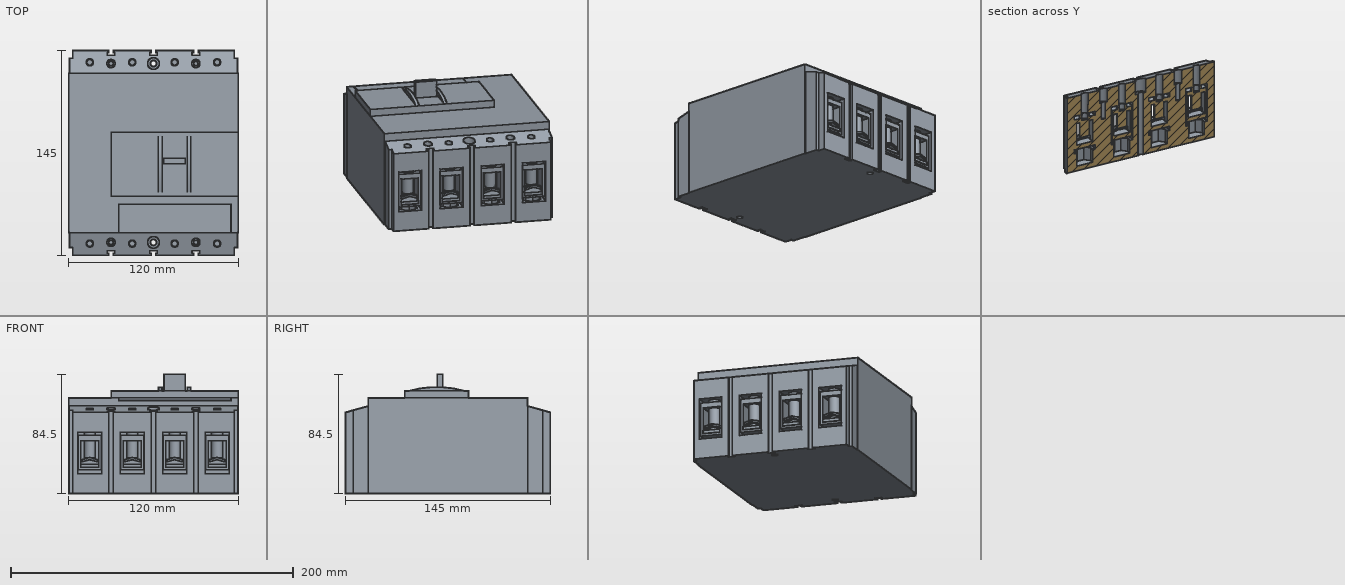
import cadquery as cq


WIDTH = 120.0
LENGTH = 145.0
HOUSING_LENGTH = 112.8
HOUSING_HEIGHT = 67.7

BLOCK_WIDTH = 118.9
BLOCK_NOSE_WIDTH = 114.4
BLOCK_NOSE_LENGTH = 5.5
BLOCK_INNER_HEIGHT = 62.0
BLOCK_OUTER_HEIGHT = 57.5

POLE_COUNT = 4
POLE_PITCH = WIDTH / POLE_COUNT
POLE_XS = [(i - (POLE_COUNT - 1) / 2) * POLE_PITCH for i in range(POLE_COUNT)]
GAP_XS = [-POLE_PITCH, 0, POLE_PITCH]

SLOT_NECK_WIDTH = 3.0
SLOT_HEAD_WIDTH = 5.2
SLOT_NECK_DEPTH = 1.6
SLOT_DEPTH = 3.3

MOUNT_HOLE_Y = 63.2
BLIND_COUNTERBORE = 5.8
BLIND_HOLE = 3.2
BLIND_HOLE_FLOOR = 36.2
THROUGH_COUNTERBORE = 8.3
THROUGH_HOLE = 4.2
COUNTERBORE_FLOOR = 49.3

END_Y = LENGTH / 2
POCKET_WIDTH = 16.8
POCKET_DEPTH = 14.5
POCKET_FLOOR = 14.2
POCKET_CEILING = 43.6
FLOOR_WELL_SIDES = 8
FLOOR_WELL_FLATS = 12.5
FLOOR_WELL_DEPTH = 10.2

CAGE_WIDTH = 16.2
CAGE_SETBACK = 2.3
CAGE_BOTTOM = 17.0
CAGE_TOP = 41.2
WINDOW_WIDTH = 12.6
WINDOW_BOTTOM = 18.5
WINDOW_TOP = 37.5
BAR_SETBACK = 1.7
BAR_TOP = 20.7
SCREW_Y = 64.1
SCREW_DIAMETER = 8.0
SCREW_BOTTOM = 25.5
DRIVER_HOLE = 5.0
SCREW_SOCKET = 4.2
SCREW_SOCKET_DEPTH = 4.4
SHOE_WIDTH = 11.3
SHOE_SETBACK = 3.0
SHOE_LENGTH = 3.3
SHOE_END_BOTTOM = 22.5
SHOE_RISE = 1.6
SHOE_THICKNESS = 1.6

PLATE_WIDTH = 90.0
PLATE_BACK_Y = 14.6
PLATE_FRONT_Y = -30.6
PLATE_TOP = 72.8
RIB_THICKNESS = 2.6
RIB_LENGTH = 39.2
RIB_HEIGHT = 2.8
RIB_OFFSET = 10.2

LEVER_X = POLE_PITCH / 2
LEVER_Y = -5.7
LEVER_WIDTH = 15.2
LEVER_THICKNESS = 4.0
LEVER_TOP = 84.5

RECESS_LEFT_X = -24.6
RECESS_RIGHT_X = 55.1
RECESS_BACK_Y = -36.2
RECESS_DEPTH = 2.0
LABEL_GAP = 0.6


def box(x_range, y_range, z_range):
    """A box given by its lower and upper bound along each axis."""
    (x0, x1), (y0, y1), (z0, z1) = x_range, y_range, z_range
    return cq.Workplane("XY").box(x1 - x0, y1 - y0, z1 - z0, centered=False).translate((x0, y0, z0))


def centred_box(x, width, y_range, z_range):
    return box((x - width / 2, x + width / 2), y_range, z_range)


def cylinder(x, y, diameter, z_range):
    z0, z1 = z_range
    return cq.Workplane("XY", origin=(x, y, z0)).circle(diameter / 2).extrude(z1 - z0)


def terminal_block():
    """The sloping block at the -Y end, with its narrower nose."""
    inner_y = -HOUSING_LENGTH / 2
    block = (
        cq.Workplane("YZ", origin=(-BLOCK_WIDTH / 2, 0, 0))
        .polyline([(inner_y, 0), (inner_y, BLOCK_INNER_HEIGHT), (-END_Y, BLOCK_OUTER_HEIGHT), (-END_Y, 0)])
        .close()
        .extrude(BLOCK_WIDTH)
    )
    nose_y = (-END_Y, -END_Y + BLOCK_NOSE_LENGTH)
    for side in (-1, 1):
        corner = sorted((side * BLOCK_NOSE_WIDTH / 2, side * BLOCK_WIDTH / 2))
        block = block.cut(box(corner, nose_y, (0, HOUSING_HEIGHT)))
    return block


def t_slot(x):
    """A full-height T-slot opening through the -Y end face."""
    height = (0, HOUSING_HEIGHT)
    neck = centred_box(x, SLOT_NECK_WIDTH, (-END_Y, -END_Y + SLOT_DEPTH), height)
    head = centred_box(x, SLOT_HEAD_WIDTH, (-END_Y + SLOT_NECK_DEPTH, -END_Y + SLOT_DEPTH), height)
    return neck.union(head)


def mount_hole(x, bore, counterbore, floor):
    wide = cylinder(x, -MOUNT_HOLE_Y, counterbore, (COUNTERBORE_FLOOR, HOUSING_HEIGHT))
    return wide.union(cylinder(x, -MOUNT_HOLE_Y, bore, (floor, HOUSING_HEIGHT)))


def terminal_pocket(x):
    """The cavity for one terminal clamp, with an octagonal well in its floor."""
    pocket = centred_box(
        x, POCKET_WIDTH, (-END_Y, -END_Y + POCKET_DEPTH), (POCKET_FLOOR, POCKET_CEILING)
    )
    well = (
        cq.Workplane("XY", origin=(x, -SCREW_Y, POCKET_FLOOR))
        .polygon(FLOOR_WELL_SIDES, FLOOR_WELL_FLATS, circumscribed=True)
        .extrude(-FLOOR_WELL_DEPTH)
    )
    return pocket.union(well)


def pressure_shoe(x):
    """The roof-shaped strip under the clamp screw."""
    half = SHOE_WIDTH / 2
    end_top = SHOE_END_BOTTOM + SHOE_THICKNESS
    lower_edge = [(-half, SHOE_END_BOTTOM), (0, SHOE_END_BOTTOM + SHOE_RISE), (half, SHOE_END_BOTTOM)]
    upper_edge = [(half, end_top), (0, end_top + SHOE_RISE), (-half, end_top)]
    return (
        cq.Workplane("XZ", origin=(x, -END_Y + SHOE_SETBACK, 0))
        .polyline(lower_edge + upper_edge)
        .close()
        .extrude(-SHOE_LENGTH)
    )


def terminal_clamp(x):
    """The cage, current bar, screw and shoe, standing out from the back wall of the pocket."""
    back_y = -END_Y + POCKET_DEPTH
    depth = (-END_Y + CAGE_SETBACK, back_y)
    cage = centred_box(x, CAGE_WIDTH, depth, (CAGE_BOTTOM, CAGE_TOP))
    cage = cage.cut(centred_box(x, WINDOW_WIDTH, depth, (WINDOW_BOTTOM, WINDOW_TOP)))
    bar = centred_box(x, WINDOW_WIDTH, (-END_Y + BAR_SETBACK, back_y), (WINDOW_BOTTOM, BAR_TOP))
    screw = cylinder(x, -SCREW_Y, SCREW_DIAMETER, (SCREW_BOTTOM, POCKET_CEILING))
    return cage.union(bar).union(screw).union(pressure_shoe(x))


def driver_hole(x):
    """Access from above to the clamp screw, ending in the socket of the screw."""
    access = cylinder(x, -SCREW_Y, DRIVER_HOLE, (POCKET_CEILING, HOUSING_HEIGHT))
    socket_floor = POCKET_CEILING - SCREW_SOCKET_DEPTH
    return access.union(cylinder(x, -SCREW_Y, SCREW_SOCKET, (socket_floor, POCKET_CEILING)))


def make_housing():
    block = terminal_block()
    for x in GAP_XS:
        block = block.cut(t_slot(x))
        if x == 0:
            block = block.cut(mount_hole(x, THROUGH_HOLE, THROUGH_COUNTERBORE, 0))
        else:
            block = block.cut(mount_hole(x, BLIND_HOLE, BLIND_COUNTERBORE, BLIND_HOLE_FLOOR))
    for x in POLE_XS:
        block = block.cut(terminal_pocket(x)).union(terminal_clamp(x)).cut(driver_hole(x))

    half_length = HOUSING_LENGTH / 2
    housing = centred_box(0, WIDTH, (-half_length, half_length), (0, HOUSING_HEIGHT))
    housing = housing.union(block).union(block.mirror("XZ"))
    recess = box(
        (RECESS_LEFT_X, RECESS_RIGHT_X),
        (-half_length, RECESS_BACK_Y),
        (HOUSING_HEIGHT - RECESS_DEPTH, HOUSING_HEIGHT),
    )
    return housing.cut(recess)


def make_faceplate():
    right_x = WIDTH / 2
    plate = box(
        (right_x - PLATE_WIDTH, right_x), (PLATE_FRONT_Y, PLATE_BACK_Y), (HOUSING_HEIGHT, PLATE_TOP)
    )
    middle_y = (PLATE_FRONT_Y + PLATE_BACK_Y) / 2
    for side in (-1, 1):
        left_x = LEVER_X + side * RIB_OFFSET - RIB_THICKNESS / 2
        rib = (
            cq.Workplane("YZ", origin=(left_x, middle_y, PLATE_TOP))
            .moveTo(-RIB_LENGTH / 2, 0)
            .threePointArc((0, RIB_HEIGHT), (RIB_LENGTH / 2, 0))
            .close()
            .extrude(RIB_THICKNESS)
        )
        plate = plate.union(rib)
    return plate


def make_lever():
    half = LEVER_THICKNESS / 2
    return centred_box(LEVER_X, LEVER_WIDTH, (LEVER_Y - half, LEVER_Y + half), (PLATE_TOP, LEVER_TOP))


def make_label():
    return box(
        (RECESS_LEFT_X, RECESS_RIGHT_X - LABEL_GAP),
        (-HOUSING_LENGTH / 2, RECESS_BACK_Y),
        (HOUSING_HEIGHT - RECESS_DEPTH + LABEL_GAP, HOUSING_HEIGHT),
    )


housing = make_housing()
faceplate = make_faceplate()
lever = make_lever()
label = make_label()

result = cq.Compound.makeCompound([housing.val(), faceplate.val(), lever.val(), label.val()])